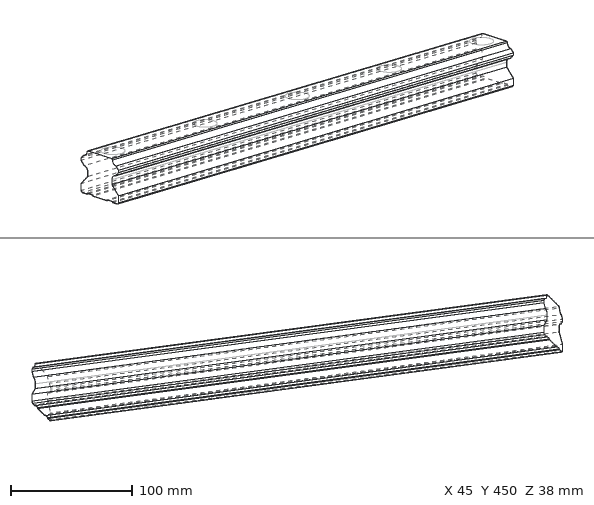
import cadquery as cq
import math

RAIL_WIDTH = 45.0
RAIL_LENGTH = 450.0
RAIL_HEIGHT = 38.0
HALF_WIDTH = RAIL_WIDTH / 2

BALL_GROOVE_RADIUS = 4.2

TOP_BEVEL = 1.0
HEAD_SLOPE = 3.0
HEAD_UNDER_SLOPE = 3.75

WAIST_HALF_WIDTH = HALF_WIDTH - HEAD_UNDER_SLOPE - BALL_GROOVE_RADIUS
WAIST_TOP = 19.8

FOOT_SIDE_TOP = 7.6
FOOT_BEVEL = 1.5

RELIEF_INNER_HALF_WIDTH = 8.6
RELIEF_OUTER_HALF_WIDTH = 15.3
RELIEF_DEPTH = 0.8

CAP_DIAMETER = 20.0
CAP_THICKNESS = 3.0
CAP_COUNT = 5
CAP_PITCH = 105.0


def half_profile():
    """Right half of the rail's cross-section in X and Z, closed along the centre plane."""
    arc_middle = BALL_GROOVE_RADIUS * math.sin(math.pi / 4)

    upper_center_x = HALF_WIDTH - HEAD_SLOPE
    upper_center_z = RAIL_HEIGHT - TOP_BEVEL
    upper_inner_x = upper_center_x - BALL_GROOVE_RADIUS
    upper_bottom_z = upper_center_z - BALL_GROOVE_RADIUS

    lower_center_x = HALF_WIDTH - HEAD_UNDER_SLOPE
    lower_top_z = WAIST_TOP + BALL_GROOVE_RADIUS

    shoulder_width = HALF_WIDTH - WAIST_HALF_WIDTH

    return (
        cq.Workplane("XZ")
        .moveTo(0, RAIL_HEIGHT)
        .lineTo(upper_inner_x - TOP_BEVEL, RAIL_HEIGHT)
        .lineTo(upper_inner_x, upper_center_z)
        .threePointArc(
            (upper_center_x - arc_middle, upper_center_z - arc_middle),
            (upper_center_x, upper_bottom_z),
        )
        .lineTo(HALF_WIDTH, upper_bottom_z - HEAD_SLOPE)
        .lineTo(HALF_WIDTH, lower_top_z + HEAD_UNDER_SLOPE)
        .lineTo(lower_center_x, lower_top_z)
        .threePointArc(
            (lower_center_x - arc_middle, WAIST_TOP + arc_middle),
            (WAIST_HALF_WIDTH, WAIST_TOP),
        )
        .lineTo(WAIST_HALF_WIDTH, FOOT_SIDE_TOP + shoulder_width)
        .lineTo(HALF_WIDTH, FOOT_SIDE_TOP)
        .lineTo(HALF_WIDTH, FOOT_BEVEL)
        .lineTo(HALF_WIDTH - FOOT_BEVEL, 0)
        .lineTo(RELIEF_OUTER_HALF_WIDTH, 0)
        .lineTo(RELIEF_OUTER_HALF_WIDTH, RELIEF_DEPTH)
        .lineTo(RELIEF_INNER_HALF_WIDTH, RELIEF_DEPTH)
        .lineTo(RELIEF_INNER_HALF_WIDTH, 0)
        .lineTo(0, 0)
        .close()
    )


def rail_body():
    """Full rail, mirrored about X = 0 and centred along Y."""
    half = half_profile().extrude(RAIL_LENGTH / 2, both=True)
    return half.union(half.mirror("YZ")).clean()


def hole_caps():
    """Row of round caps whose faces lie flush with the top of the rail."""
    return (
        cq.Workplane("XY", origin=(0, 0, RAIL_HEIGHT))
        .rarray(1, CAP_PITCH, 1, CAP_COUNT)
        .circle(CAP_DIAMETER / 2)
        .extrude(-CAP_THICKNESS)
    )


result = rail_body().union(hole_caps(), clean=False)